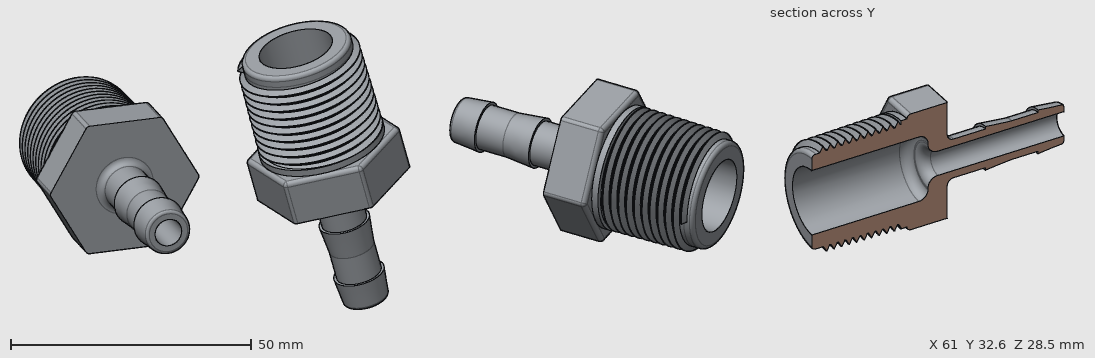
import cadquery as cq
import math

OVERALL_LENGTH = 60.95

HEX_START = 23.0
HEX_END = 32.8
HEX_ACROSS_FLATS = 28.5
HEX_ROUND = 1.0

NOSE_RADIUS = 11.7
NOSE_ROUND = 0.9
COLLAR_START = 21.5
COLLAR_RADIUS = 26.7 / 2
THREAD_START = 2.25
THREAD_LENGTH = 20.0
THREAD_TURNS = 11
THREAD_PITCH = THREAD_LENGTH / THREAD_TURNS
THREAD_DEPTH = 1.3
THREAD_BASE_WIDTH = 1.6
THREAD_CREST_WIDTH = 0.2
THREAD_TAPER_ANGLE = 1.0
THREAD_OVERLAP = 0.2
TAPER_SLOPE = math.tan(math.radians(THREAD_TAPER_ANGLE))
FLANK_SLOPE = (THREAD_BASE_WIDTH - THREAD_CREST_WIDTH) / 2 / THREAD_DEPTH

STEM_RADIUS = 9.65 / 2
STEM_FILLET = 1.45
BARB_RADIUS = 5.4
BARB_LENGTH = 6.35
LAST_BARB_START = OVERALL_LENGTH - BARB_LENGTH
BARB_STARTS = (41.95, LAST_BARB_START)
TIP_ROUND = 0.7

LARGE_BORE_RADIUS = 15.7 / 2
SMALL_BORE_RADIUS = 5.85 / 2
BORE_DEPTH = 28.05
BORE_FLOOR_FILLET = 2.2
BORE_MOUTH_ROUND = 2.4


def cylinder(start, end, radius):
    return cq.Workplane("YZ", origin=(start, 0, 0)).circle(radius).extrude(end - start)


def revolve_about_x(profile):
    return profile.close().revolve(360, (0, 0, 0), (1, 0, 0))


def make_hex_flange():
    across_corners = HEX_ACROSS_FLATS / math.cos(math.radians(30))
    flange = (
        cq.Workplane("YZ", origin=(HEX_START, 0, 0))
        .polygon(6, across_corners)
        .extrude(HEX_END - HEX_START)
    )
    return flange.edges("|X").fillet(HEX_ROUND).faces("<X").edges().fillet(HEX_ROUND)


def make_thread_core():
    """Rounded straight nose, cone under the thread, and plain collar."""
    cone_end_radius = NOSE_RADIUS + (COLLAR_START - THREAD_START) * TAPER_SLOPE
    profile = (
        cq.Workplane("XY")
        .lineTo(0, NOSE_RADIUS)
        .lineTo(THREAD_START, NOSE_RADIUS)
        .lineTo(COLLAR_START, cone_end_radius)
        .lineTo(COLLAR_START, COLLAR_RADIUS)
        .lineTo(HEX_START, COLLAR_RADIUS)
        .lineTo(HEX_START, 0)
    )
    return revolve_about_x(profile).faces("<X").edges().fillet(NOSE_ROUND)


def make_thread_ridge():
    """Right-hand tapered ridge, sunk slightly into the core and ending inside the collar."""
    helix = cq.Wire.makeHelix(
        THREAD_PITCH, THREAD_LENGTH, NOSE_RADIUS, angle=THREAD_TAPER_ANGLE
    )
    foot_radius = NOSE_RADIUS - THREAD_OVERLAP
    foot_half_width = THREAD_BASE_WIDTH / 2 + THREAD_OVERLAP * FLANK_SLOPE
    crest_radius = NOSE_RADIUS + THREAD_DEPTH
    crest_half_width = THREAD_CREST_WIDTH / 2
    ridge = (
        cq.Workplane("XZ")
        .moveTo(foot_radius, -foot_half_width)
        .lineTo(crest_radius, -crest_half_width)
        .lineTo(crest_radius, crest_half_width)
        .lineTo(foot_radius, foot_half_width)
        .close()
        .sweep(cq.Workplane(obj=helix), isFrenet=True)
    )
    ridge = ridge.rotate((0, 0, 0), (0, 0, 1), 90).rotate((0, 0, 0), (0, 1, 0), 90)
    return ridge.translate((THREAD_START, 0, 0))


def make_barb(start):
    profile = (
        cq.Workplane("XY")
        .moveTo(start, 0)
        .lineTo(start, BARB_RADIUS)
        .lineTo(start + BARB_LENGTH, STEM_RADIUS)
        .lineTo(start + BARB_LENGTH, 0)
    )
    return revolve_about_x(profile)


def make_stem_root():
    """Concave fillet between the hex face and the stem."""
    profile = (
        cq.Workplane("XY")
        .moveTo(HEX_END, 0)
        .lineTo(HEX_END, STEM_RADIUS + STEM_FILLET)
        .radiusArc((HEX_END + STEM_FILLET, STEM_RADIUS), -STEM_FILLET)
        .lineTo(HEX_END + STEM_FILLET, 0)
    )
    return revolve_about_x(profile)


def make_stem():
    stem = cylinder(HEX_END, LAST_BARB_START, STEM_RADIUS).union(make_stem_root())
    for start in BARB_STARTS:
        stem = stem.union(make_barb(start))
    return stem.faces(">X").edges().fillet(TIP_ROUND)


def make_bore():
    """Large blind bore with a rounded floor that flows into the small through bore."""
    mouth_start_radius = SMALL_BORE_RADIUS + BORE_MOUTH_ROUND
    profile = (
        cq.Workplane("XY")
        .lineTo(0, LARGE_BORE_RADIUS)
        .lineTo(BORE_DEPTH - BORE_FLOOR_FILLET, LARGE_BORE_RADIUS)
        .radiusArc((BORE_DEPTH, LARGE_BORE_RADIUS - BORE_FLOOR_FILLET), BORE_FLOOR_FILLET)
        .lineTo(BORE_DEPTH, mouth_start_radius)
        .radiusArc((BORE_DEPTH + BORE_MOUTH_ROUND, SMALL_BORE_RADIUS), -BORE_MOUTH_ROUND)
        .lineTo(OVERALL_LENGTH, SMALL_BORE_RADIUS)
        .lineTo(OVERALL_LENGTH, 0)
    )
    return revolve_about_x(profile)


body = make_thread_core().union(make_thread_ridge())
body = body.union(make_hex_flange()).union(make_stem())
result = body.cut(make_bore())